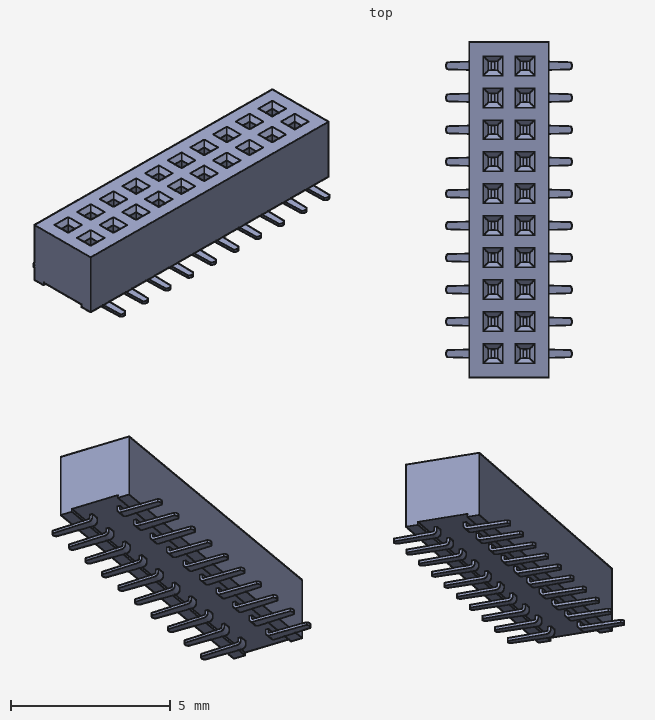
import cadquery as cq

housing_length = 10.5
housing_width = 2.5
housing_height = 2.1
rail_width = 0.41
channel_depth = 0.1

row_count = 10
end_margin_pitches = 0.75
pitch = housing_length / (row_count - 1 + 2 * end_margin_pitches)
row_positions = [(row - (row_count - 1) / 2) * pitch for row in range(row_count)]

funnel_mouth = 0.61
bore_size = 0.29
funnel_depth = 0.15
bore_depth = 0.63

lead_span = 3.95
overall_height = 2.25
sheet_thickness = 0.1
upright_width = 0.3
tip_width = 0.23
bend_inner_radius = 0.047
tip_bulge = 0.05
post_height = 0.1
post_width = 0.25

upright_x = pitch / 2
tip_x = lead_span / 2
lead_bottom = housing_height - overall_height
lead_top = lead_bottom + sheet_thickness
bore_floor = housing_height - bore_depth
bend_outer_radius = bend_inner_radius + sheet_thickness


def make_housing():
    """Rectangular block with a channel along its underside, leaving a rail on each long edge."""
    block = cq.Workplane("XY").box(
        housing_width, housing_length, housing_height, centered=(True, True, False)
    )
    channel = cq.Workplane("XY").box(
        housing_width - 2 * rail_width, housing_length, channel_depth, centered=(True, True, False)
    )
    return block.cut(channel)


def make_socket():
    """Cavity of one socket, centred on the Z axis."""
    funnel = (
        cq.Workplane("XY", origin=(0, 0, housing_height - funnel_depth))
        .rect(bore_size, bore_size)
        .workplane(offset=funnel_depth)
        .rect(funnel_mouth, funnel_mouth)
        .loft(ruled=True)
    )
    bore = (
        cq.Workplane("XY", origin=(0, 0, bore_floor))
        .rect(bore_size, bore_size)
        .extrude(bore_depth - funnel_depth)
    )
    return funnel.union(bore)


def make_contact():
    """Contact on the +X side: a bent strip with a tapering, round-tipped lead and a narrowed upper end."""
    inner_face = upright_x - sheet_thickness / 2
    outer_face = upright_x + sheet_thickness / 2
    bend_end = inner_face + bend_outer_radius
    strip = (
        cq.Workplane("XZ")
        .moveTo(inner_face, bore_floor - post_height)
        .lineTo(inner_face, lead_bottom + bend_outer_radius)
        .radiusArc((bend_end, lead_bottom), -bend_outer_radius)
        .lineTo(tip_x, lead_bottom)
        .lineTo(tip_x, lead_top)
        .lineTo(bend_end, lead_top)
        .radiusArc((outer_face, lead_top + bend_inner_radius), bend_inner_radius)
        .lineTo(outer_face, bore_floor - post_height)
        .close()
        .extrude(upright_width / 2, both=True)
    )
    plan = (
        cq.Workplane("XY", origin=(0, 0, lead_bottom))
        .moveTo(inner_face, -upright_width / 2)
        .lineTo(bend_end, -upright_width / 2)
        .lineTo(tip_x - tip_bulge, -tip_width / 2)
        .threePointArc((tip_x, 0), (tip_x - tip_bulge, tip_width / 2))
        .lineTo(bend_end, upright_width / 2)
        .lineTo(inner_face, upright_width / 2)
        .close()
        .extrude(overall_height)
    )
    post = cq.Workplane("XY", origin=(upright_x, 0, bore_floor)).box(
        sheet_thickness, post_width, 2 * post_height
    )
    return strip.intersect(plan).union(post)


socket = make_socket()
right_contact = make_contact()
left_contact = right_contact.mirror("YZ")

result = make_housing()
for y in row_positions:
    for x in (-upright_x, upright_x):
        result = result.cut(socket.translate((x, y, 0)))
for y in row_positions:
    for contact in (left_contact, right_contact):
        result = result.union(contact.translate((0, y, 0)))